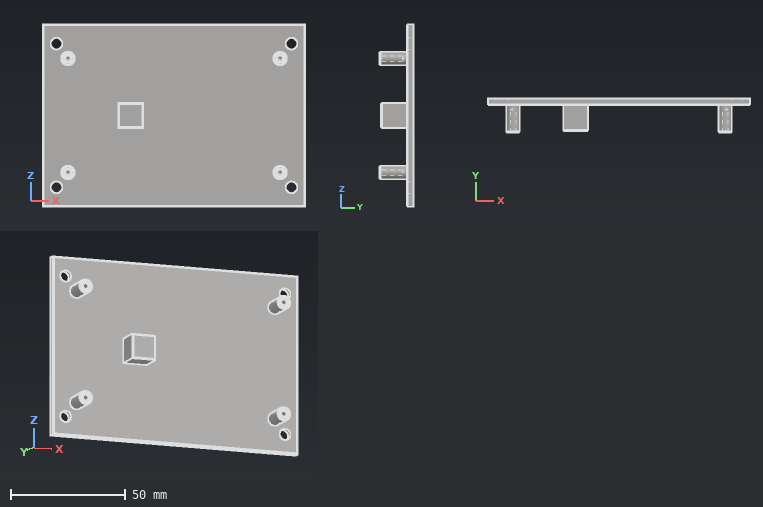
import cadquery as cq
import math

plate_width = 115.0
plate_height = 80.0
plate_thickness = 3.0
front_chamfer = 0.5

mount_hole_diameter = 5.0
mount_hole_side_inset = 6.0
mount_hole_end_inset = 8.5
mount_hole_x = plate_width / 2 - mount_hole_side_inset
mount_hole_z = plate_height / 2 - mount_hole_end_inset

overall_depth = 15.0
standoff_diameter = 6.0
standoff_length = overall_depth - plate_thickness
standoff_chamfer = 0.5
standoff_x = 46.5
standoff_z = 25.0
bore_diameter = 2.5
bore_depth = 10.0
bore_mouth_chamfer = 0.5
drill_point_angle = 118.0

block_side = 11.0
block_length = 11.3
block_chamfer = 0.5
block_center_x = -19.0
block_center_z = 0.0


def front_plane(x, y, z):
    """Plane at the given point whose normal points out of the front (-Y)."""
    return cq.Workplane(cq.Plane(origin=(x, y, z), xDir=(1, 0, 0), normal=(0, -1, 0)))


def corner_points(x, z):
    """Four points placed symmetrically about the plate center."""
    return [(side * x, end * z) for side in (-1, 1) for end in (-1, 1)]


def make_plate():
    plate = front_plane(0, 0, 0).rect(plate_width, plate_height).extrude(plate_thickness)
    plate = plate.faces("<Y").chamfer(front_chamfer)
    holes = (
        front_plane(0, 0, 0)
        .pushPoints(corner_points(mount_hole_x, mount_hole_z))
        .circle(mount_hole_diameter / 2)
        .extrude(plate_thickness)
    )
    return plate.cut(holes)


def make_block():
    block = (
        front_plane(block_center_x, -plate_thickness, block_center_z)
        .rect(block_side, block_side)
        .extrude(block_length)
    )
    return block.faces("<Y").chamfer(block_chamfer)


def make_standoff(x, z):
    standoff = (
        front_plane(x, -plate_thickness, z)
        .circle(standoff_diameter / 2)
        .extrude(standoff_length)
    )
    return standoff.faces("<Y").chamfer(standoff_chamfer)


def make_bore(x, z):
    """Blind drilled bore with a chamfered mouth and a conical bottom."""
    radius = bore_diameter / 2
    mouth_radius = radius + bore_mouth_chamfer
    point_length = radius / math.tan(math.radians(drill_point_angle / 2))
    mouth_y = -overall_depth
    profile = [
        (0, mouth_y),
        (mouth_radius, mouth_y),
        (radius, mouth_y + bore_mouth_chamfer),
        (radius, mouth_y + bore_depth),
        (0, mouth_y + bore_depth + point_length),
    ]
    bore = cq.Workplane("XY").polyline(profile).close().revolve(360, (0, 0, 0), (0, 1, 0))
    return bore.translate((x, 0, z))


result = make_plate().union(make_block())
for corner_x, corner_z in corner_points(standoff_x, standoff_z):
    result = result.union(make_standoff(corner_x, corner_z))
    result = result.cut(make_bore(corner_x, corner_z))